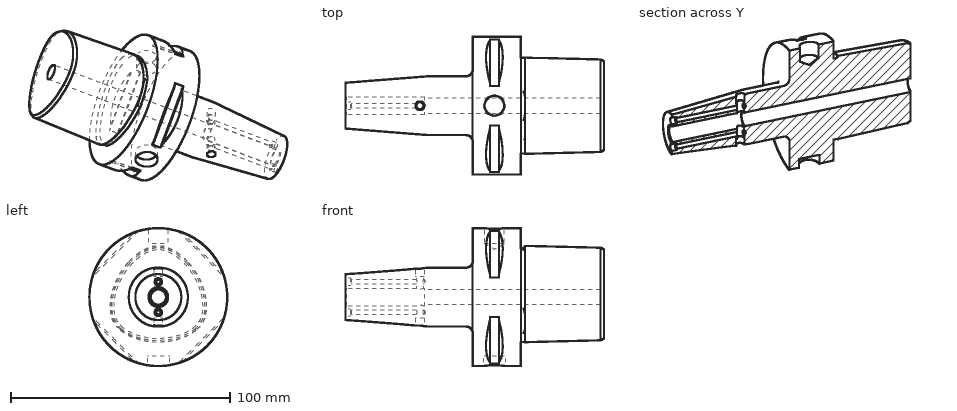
import cadquery as cq
import math

NOSE_TAPER_END_X = 38.2
FLANGE_X = 58.0
SHANK_X = 80.0
NECK_END_X = 82.0
LAND_END_X = 83.0
END_CHAMFER_X = 116.5
TOTAL_LENGTH = 118.0

NOSE_DIAMETER = 21.0
BODY_DIAMETER = 27.0
BODY_FILLET_RADIUS = 3.0
FLANGE_DIAMETER = 63.0
FLANGE_RADIUS = FLANGE_DIAMETER / 2

SHANK_MEAN_DIAMETER = 44.0
SHANK_MEAN_RADIUS = SHANK_MEAN_DIAMETER / 2
LOBE_HEIGHT = 1.4
NECK_STEP = 0.1
TAPER_RATIO = 1 / 40
END_CHAMFER_ANGLE = 30
LOBE_COUNT = 3
POINTS_PER_LOBE = 12

RELIEF_RADIUS = 22.4
RELIEF_FILLET_RADIUS = 1.1

SLOT_ANGLES = (45, 135, 225, 315)
SLOT_X = 68.0
SLOT_FLOOR_RADIUS = 27.7
SLOT_WIDTH = 4.2
SLOT_WALL_HEIGHT = 0.8
SLOT_FLANK_ANGLE = 30

INDEX_HOLE_DIAMETER = 9.0
INDEX_HOLE_DEPTH = 7.1
CHIP_HOLE_DIAMETER = 10.0
CHIP_HOLE_DEPTH = 4.6
DRILL_POINT_ANGLE = 118

BORE_DIAMETER = 8.0
BORE_MOUTH_DIAMETER = 9.0
BORE_DEPTH = 36.0
THROUGH_BORE_DIAMETER = 7.0

COOLANT_OFFSET = 7.0
COOLANT_MOUTH_DIAMETER = 3.3
COOLANT_MOUTH_DEPTH = 2.4
COOLANT_DIAMETER = 2.0
CROSS_HOLE_X = 34.0
CROSS_HOLE_DIAMETER = 3.3
CROSS_MOUTH_DIAMETER = 4.0
CROSS_MOUTH_FLOOR_Z = 9.4

CUT_CLEARANCE = 1.2


def revolve_about_axis(profile):
    """Turn a closed X-radius profile about the part axis."""
    return profile.close().revolve(360, (0, 0, 0), (1, 0, 0))


def vertical_cylinder(diameter, x, start_z, end_z):
    """Cylinder parallel to Z."""
    return cq.Workplane("XY", origin=(x, 0, start_z)).circle(diameter / 2).extrude(end_z - start_z)


def point_length(diameter):
    """Length of a drill point of the given diameter."""
    return diameter / 2 / math.tan(math.radians(DRILL_POINT_ANGLE / 2))


def turned_body():
    """Conical nose, cylindrical neck with a root fillet, and flange."""
    body_radius = BODY_DIAMETER / 2
    profile = (
        cq.Workplane("XY")
        .lineTo(0, NOSE_DIAMETER / 2)
        .lineTo(NOSE_TAPER_END_X, body_radius)
        .lineTo(FLANGE_X - BODY_FILLET_RADIUS, body_radius)
        .radiusArc((FLANGE_X, body_radius + BODY_FILLET_RADIUS), -BODY_FILLET_RADIUS)
        .lineTo(FLANGE_X, FLANGE_RADIUS)
        .lineTo(SHANK_X, FLANGE_RADIUS)
        .lineTo(SHANK_X, 0)
    )
    return revolve_about_axis(profile)


def lobe_point(x, mean_radius, angle):
    """Point on a curve of constant width with one lobe pointing to +Z."""
    support = mean_radius + LOBE_HEIGHT * math.cos(LOBE_COUNT * angle)
    slope = -LOBE_COUNT * LOBE_HEIGHT * math.sin(LOBE_COUNT * angle)
    y = support * math.sin(angle) + slope * math.cos(angle)
    z = support * math.cos(angle) - slope * math.sin(angle)
    return cq.Vector(x, y, z)


def shank_section(x, mean_radius):
    """Closed three-lobed wire with its joints halfway between the lobes."""
    lobe_span = 2 * math.pi / LOBE_COUNT
    edges = []
    for lobe in range(LOBE_COUNT):
        start = (lobe - 0.5) * lobe_span
        angles = [start + lobe_span * i / POINTS_PER_LOBE for i in range(POINTS_PER_LOBE + 1)]
        points = [lobe_point(x, mean_radius, angle) for angle in angles]
        tangents = [cq.Vector(0, math.cos(a), -math.sin(a)) for a in (angles[0], angles[-1])]
        edges.append(cq.Edge.makeSpline(points, tangents=tangents))
    return cq.Wire.assembleEdges(edges)


def shank_segment(start_x, start_radius, end_x, end_radius):
    """Solid between two parallel three-lobed sections."""
    sections = [shank_section(start_x, start_radius), shank_section(end_x, end_radius)]
    return cq.Workplane(cq.Solid.makeLoft(sections, True))


def lobe_relief():
    """Round-cornered ring cut next to the flange that trims only the lobe crests."""
    wall_start = RELIEF_RADIUS + RELIEF_FILLET_RADIUS
    ring_radius = wall_start + CUT_CLEARANCE
    profile = (
        cq.Workplane("XY")
        .moveTo(SHANK_X, RELIEF_RADIUS)
        .lineTo(NECK_END_X - RELIEF_FILLET_RADIUS, RELIEF_RADIUS)
        .radiusArc((NECK_END_X, wall_start), -RELIEF_FILLET_RADIUS)
        .lineTo(NECK_END_X, ring_radius)
        .lineTo(SHANK_X, ring_radius)
    )
    return revolve_about_axis(profile)


def shank():
    """Stepped neck, straight land, slow taper and end chamfer."""
    neck_radius = SHANK_MEAN_RADIUS - NECK_STEP
    small_radius = SHANK_MEAN_RADIUS - TAPER_RATIO * (END_CHAMFER_X - LAND_END_X)
    chamfer_drop = (TOTAL_LENGTH - END_CHAMFER_X) * math.tan(math.radians(END_CHAMFER_ANGLE))
    neck = shank_segment(SHANK_X, neck_radius, NECK_END_X, neck_radius)
    land = shank_segment(NECK_END_X, SHANK_MEAN_RADIUS, LAND_END_X, SHANK_MEAN_RADIUS)
    taper = shank_segment(LAND_END_X, SHANK_MEAN_RADIUS, END_CHAMFER_X, small_radius)
    chamfer = shank_segment(END_CHAMFER_X, small_radius, TOTAL_LENGTH, small_radius - chamfer_drop)
    return neck.cut(lobe_relief()).union(land).union(taper).union(chamfer)


def gripper_slot(angle):
    """Tangential slot with short straight walls and flared flanks."""
    half_width = SLOT_WIDTH / 2
    flank_start = SLOT_FLOOR_RADIUS + SLOT_WALL_HEIGHT
    top = FLANGE_RADIUS + CUT_CLEARANCE
    flare = (top - flank_start) * math.tan(math.radians(SLOT_FLANK_ANGLE))
    slot = (
        cq.Workplane("XZ")
        .polyline([
            (SLOT_X - half_width, SLOT_FLOOR_RADIUS),
            (SLOT_X + half_width, SLOT_FLOOR_RADIUS),
            (SLOT_X + half_width, flank_start),
            (SLOT_X + half_width + flare, top),
            (SLOT_X - half_width - flare, top),
            (SLOT_X - half_width, flank_start),
        ])
        .close()
        .extrude(FLANGE_RADIUS, both=True)
    )
    return slot.rotate((0, 0, 0), (1, 0, 0), angle)


def index_hole():
    """Blind drilled hole in the top of the flange."""
    radius = INDEX_HOLE_DIAMETER / 2
    top = FLANGE_RADIUS + CUT_CLEARANCE
    shoulder = FLANGE_RADIUS - INDEX_HOLE_DEPTH
    tip = shoulder - point_length(INDEX_HOLE_DIAMETER)
    profile = cq.Workplane("XZ", origin=(SLOT_X, 0, 0)).polyline(
        [(0, tip), (radius, shoulder), (radius, top), (0, top)]
    )
    return profile.close().revolve(360, (0, 0, 0), (0, 1, 0))


def chip_hole():
    """Shallow flat-bottomed hole in the underside of the flange."""
    floor_z = CHIP_HOLE_DEPTH - FLANGE_RADIUS
    return vertical_cylinder(CHIP_HOLE_DIAMETER, SLOT_X, -FLANGE_RADIUS - CUT_CLEARANCE, floor_z)


def tool_bore():
    """Chamfered tool bore that continues as a smaller through bore."""
    bore_radius = BORE_DIAMETER / 2
    mouth_radius = BORE_MOUTH_DIAMETER / 2
    through_radius = THROUGH_BORE_DIAMETER / 2
    profile = (
        cq.Workplane("XY")
        .lineTo(0, mouth_radius)
        .lineTo(mouth_radius - bore_radius, bore_radius)
        .lineTo(BORE_DEPTH, bore_radius)
        .lineTo(BORE_DEPTH, through_radius)
        .lineTo(TOTAL_LENGTH, through_radius)
        .lineTo(TOTAL_LENGTH, 0)
    )
    return revolve_about_axis(profile)


def coolant_hole(z):
    """Axial hole with a wider mouth, a conical step and a drill point past the cross hole."""
    mouth_radius = COOLANT_MOUTH_DIAMETER / 2
    hole_radius = COOLANT_DIAMETER / 2
    step_x = COOLANT_MOUTH_DEPTH + point_length(COOLANT_MOUTH_DIAMETER) - point_length(COOLANT_DIAMETER)
    shoulder_x = CROSS_HOLE_X + CROSS_MOUTH_DIAMETER / 2
    tip_x = shoulder_x + point_length(COOLANT_DIAMETER)
    profile = (
        cq.Workplane("XY")
        .lineTo(0, mouth_radius)
        .lineTo(COOLANT_MOUTH_DEPTH, mouth_radius)
        .lineTo(step_x, hole_radius)
        .lineTo(shoulder_x, hole_radius)
        .lineTo(tip_x, 0)
    )
    return revolve_about_axis(profile).translate((0, 0, z))


def cross_hole():
    """Vertical hole through the nose, widened at both ends."""
    reach = BODY_DIAMETER / 2 + CUT_CLEARANCE
    hole = vertical_cylinder(CROSS_HOLE_DIAMETER, CROSS_HOLE_X, -reach, reach)
    for side in (1, -1):
        floor_z = side * CROSS_MOUTH_FLOOR_Z
        mouth = vertical_cylinder(CROSS_MOUTH_DIAMETER, CROSS_HOLE_X, floor_z, side * reach)
        hole = hole.union(mouth)
    return hole


result = turned_body().union(shank())
for slot_angle in SLOT_ANGLES:
    result = result.cut(gripper_slot(slot_angle))
result = result.cut(index_hole()).cut(chip_hole()).cut(tool_bore())
for coolant_z in (COOLANT_OFFSET, -COOLANT_OFFSET):
    result = result.cut(coolant_hole(coolant_z))
result = result.cut(cross_hole())